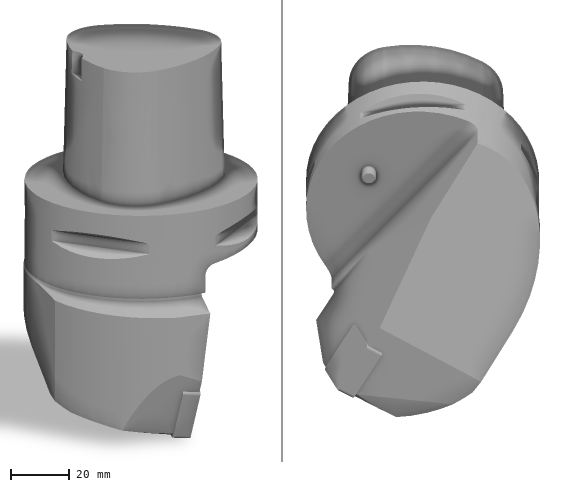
import cadquery as cq
import math


shank_height = 48.0
lobe_reach = 29.7
flat_reach = 25.1
lobe_radius = 16.1
shank_taper = math.degrees(math.atan(1 / 40))
notch_radius = 6.1
notch_center_y = -28.0
notch_depth = 8.2

flange_radius = 40.0
flange_height = 30.0
slot_count = 4
slot_z = -12.0
slot_floor_distance = 35.6
slot_floor_width = 3.7
slot_flank_angle = 29.0

tool_length = 80.0
blade_front_reach = 40.55
blade_side_radius = 43.0
blade_side_center = (8.22, 0.28)
blade_right_x = 50.78
rim_height = 0.8
shoulder_angle = 15.0
belly_angle = 35.0
belly_side_slope = 0.08
belly_z_on_axis = -58.59

wall_y = 8.04
ceiling_wall_z = -20.5
ceiling_slope = 4.5
clearance_fillet = 3.96
nozzle_diameter = 5.0
nozzle_y = 24.0
nozzle_tip_z = -23.1
nozzle_root_z = -15.0
nozzle_chamfer = 0.5

insert_size = 19.05
insert_thickness = 6.35
insert_nose_radius = 1.2
insert_corner = (45.2, 0.0, -80.27)
lead_angle = 15.0
rake_angle = 6.0
seat_inset = 0.65
face_inset = 0.35
seat_corner_chamfer = 1.2
heel_point = (42.7, -25.5, -74.3)
heel_x_slope = 0.06
heel_y_slope = 0.21

cutter_size = 300.0


def beyond(point, direction):
    """Large block filling the space on the far side of a plane."""
    plane = cq.Plane(origin=point, normal=direction)
    return cq.Workplane(plane).rect(cutter_size, cutter_size).extrude(cutter_size)


lead = math.radians(lead_angle)
rise = math.tan(math.radians(rake_angle))
rake_normal = (rise * (math.cos(lead) - math.sin(lead)), 1, -rise * (math.cos(lead) + math.sin(lead)))
insert_frame = cq.Plane(
    origin=insert_corner,
    xDir=(-math.cos(lead), rise, math.sin(lead)),
    normal=rake_normal,
)


def make_insert():
    half = insert_size / 2
    return (
        cq.Workplane(insert_frame)
        .center(half, half)
        .rect(insert_size, insert_size)
        .extrude(-insert_thickness)
        .edges(cq.selectors.ParallelDirSelector(insert_frame.zDir))
        .fillet(insert_nose_radius)
    )


def shank_point(radius, center_distance, center_angle, direction):
    """Point on an arc whose center lies at a polar position about the shank axis."""
    a = math.radians(center_angle)
    d = math.radians(direction)
    return (
        center_distance * math.cos(a) + radius * math.cos(d),
        center_distance * math.sin(a) + radius * math.sin(d),
    )


def make_shank():
    lobe_center = lobe_reach - lobe_radius
    across = lobe_center * math.sin(math.radians(60))
    along = lobe_center * math.cos(math.radians(60)) - flat_reach
    flat_radius = (across**2 + along**2 - lobe_radius**2) / (-2 * (lobe_radius + along))
    flat_center = flat_radius - flat_reach
    half_flat = math.degrees(math.atan2(across, flat_radius + along))
    outline = cq.Workplane("XY").moveTo(
        *shank_point(lobe_radius, lobe_center, 90, 30 + half_flat)
    )
    for lobe_angle in (90, 210, 330):
        flat_angle = lobe_angle + 60
        outline = outline.threePointArc(
            shank_point(lobe_radius, lobe_center, lobe_angle, lobe_angle),
            shank_point(lobe_radius, lobe_center, lobe_angle, flat_angle - half_flat),
        ).threePointArc(
            shank_point(flat_radius, flat_center, flat_angle + 180, flat_angle),
            shank_point(flat_radius, flat_center, flat_angle + 180, flat_angle + half_flat),
        )
    shank = outline.close().extrude(shank_height, taper=shank_taper)
    notch = (
        cq.Workplane("XY", origin=(0, notch_center_y, shank_height))
        .circle(notch_radius)
        .extrude(-notch_depth)
    )
    return shank.cut(notch)


def make_flange():
    flange = cq.Workplane("XY").circle(flange_radius).extrude(-flange_height)
    depth = flange_radius - slot_floor_distance
    half_floor = slot_floor_width / 2
    half_mouth = half_floor + depth * math.tan(math.radians(slot_flank_angle))
    slot = (
        cq.Workplane("XZ")
        .polyline(
            [
                (slot_floor_distance, slot_z - half_floor),
                (flange_radius, slot_z - half_mouth),
                (flange_radius, slot_z + half_mouth),
                (slot_floor_distance, slot_z + half_floor),
            ]
        )
        .close()
        .extrude(flange_radius, both=True)
    )
    for i in range(slot_count):
        angle = (i + 0.5) * 360 / slot_count
        flange = flange.cut(slot.rotate((0, 0, 0), (0, 0, 1), angle))
    return flange


def make_blade():
    side_x, side_y = blade_side_center
    flat_y = -blade_front_reach
    flat_end_x = side_x + math.sqrt(blade_side_radius**2 - (flat_y - side_y) ** 2)
    right_end_y = side_y - math.sqrt(blade_side_radius**2 - (blade_right_x - side_x) ** 2)
    diagonal = math.sqrt(0.5)
    back_shift = (blade_front_reach - flange_radius) / 2
    back_radius = flange_radius + back_shift
    back_diagonal = back_radius * diagonal
    wall_left_x = back_shift - math.sqrt(back_radius**2 - (wall_y + back_shift) ** 2)
    blade = (
        cq.Workplane("XY")
        .moveTo(back_shift, flat_y)
        .lineTo(flat_end_x, flat_y)
        .threePointArc(
            (side_x + blade_side_radius * diagonal, side_y - blade_side_radius * diagonal),
            (blade_right_x, right_end_y),
        )
        .lineTo(blade_right_x, wall_y)
        .lineTo(wall_left_x, wall_y)
        .threePointArc((back_shift - back_diagonal, -back_shift - back_diagonal), (back_shift, flat_y))
        .close()
        .extrude(-tool_length - rim_height)
    )

    rim_z = -flange_height - rim_height
    outer_radius = 2 * blade_front_reach
    shoulder_drop = (outer_radius - blade_front_reach) * math.tan(math.radians(shoulder_angle))
    envelope = (
        cq.Workplane("XZ")
        .polyline(
            [
                (0, -flange_height),
                (flange_radius, -flange_height),
                (blade_front_reach, rim_z),
                (outer_radius, rim_z - shoulder_drop),
                (outer_radius, -cutter_size),
                (0, -cutter_size),
            ]
        )
        .close()
        .revolve(360, (0, 0), (0, 1))
    )
    blade = blade.intersect(envelope)

    belly_normal = cq.Vector(-math.tan(math.radians(belly_angle)), -belly_side_slope, -1)
    blade = blade.cut(beyond((0, 0, belly_z_on_axis), belly_normal))
    seat_corner = insert_frame.toWorldCoords((seat_inset, seat_inset, -face_inset))
    for face_normal in (-insert_frame.xDir, -insert_frame.yDir, insert_frame.zDir):
        blade = blade.cut(beyond(seat_corner, face_normal))
    blunt_point = insert_frame.toWorldCoords((seat_inset + seat_corner_chamfer, seat_inset, 0))
    blade = blade.cut(beyond(blunt_point, -insert_frame.xDir - insert_frame.yDir))
    return blade.cut(beyond(heel_point, (-heel_x_slope, -heel_y_slope, -1)))


def make_clearance():
    """Space beside the blade, below a slightly sloping ceiling."""
    outer_y = 2 * flange_radius
    ceiling_outer_z = ceiling_wall_z + (outer_y - wall_y) * math.tan(math.radians(ceiling_slope))
    return (
        cq.Workplane("YZ")
        .polyline(
            [
                (wall_y, ceiling_wall_z),
                (outer_y, ceiling_outer_z),
                (outer_y, -tool_length),
                (wall_y, -tool_length),
            ]
        )
        .close()
        .extrude(flange_radius * 2, both=True)
        .edges(cq.selectors.NearestToPointSelector((0, wall_y, ceiling_wall_z)))
        .fillet(clearance_fillet)
    )


def make_nozzle():
    return (
        cq.Workplane("XY", origin=(0, nozzle_y, nozzle_tip_z))
        .circle(nozzle_diameter / 2)
        .extrude(nozzle_root_z - nozzle_tip_z)
        .faces("<Z")
        .chamfer(nozzle_chamfer)
    )


insert = make_insert()
holder = (
    make_flange()
    .union(make_blade())
    .cut(make_clearance())
    .union(make_shank())
    .union(make_nozzle())
    .cut(insert)
)

result = cq.Compound.makeCompound([holder.solids().val(), insert.val()])